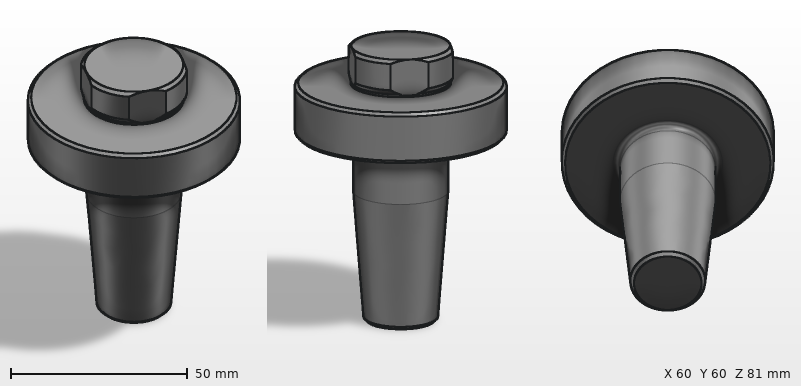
import cadquery as cq

TOTAL_HEIGHT = 81.0
HEAD_HEIGHT = 11.0
FLANGE_THICKNESS = 15.0
STRAIGHT_SHANK_LENGTH = 16.9

FLANGE_RADIUS = 60.0 / 2
SHANK_RADIUS = 27.0 / 2
TIP_RADIUS = 21.2 / 2
FLANGE_CHAMFER = 1.0
END_CHAMFER = 1.05
SHANK_FILLET = 2.0

HEAD_RADIUS = 30.05 / 2
ACROSS_FLATS = 28.0
COLLAR_RADIUS = 28.4 / 2
COLLAR_HEIGHT = 0.7
FLATS_START = 0.4
UNDERSIDE_CONE_HEIGHT = 1.45

FLANGE_TOP = TOTAL_HEIGHT - HEAD_HEIGHT
FLANGE_BOTTOM = FLANGE_TOP - FLANGE_THICKNESS
TAPER_TOP = FLANGE_BOTTOM - STRAIGHT_SHANK_LENGTH


def make_flanged_shank():
    """Round flange on a straight shank that tapers to a chamfered tip."""
    profile = (
        cq.Workplane("XZ")
        .moveTo(0, 0)
        .lineTo(TIP_RADIUS - END_CHAMFER, 0)
        .lineTo(TIP_RADIUS, END_CHAMFER)
        .lineTo(SHANK_RADIUS, TAPER_TOP)
        .lineTo(SHANK_RADIUS, FLANGE_BOTTOM - SHANK_FILLET)
        .radiusArc((SHANK_RADIUS + SHANK_FILLET, FLANGE_BOTTOM), SHANK_FILLET)
        .lineTo(FLANGE_RADIUS - FLANGE_CHAMFER, FLANGE_BOTTOM)
        .lineTo(FLANGE_RADIUS, FLANGE_BOTTOM + FLANGE_CHAMFER)
        .lineTo(FLANGE_RADIUS, FLANGE_TOP - FLANGE_CHAMFER)
        .lineTo(FLANGE_RADIUS - FLANGE_CHAMFER, FLANGE_TOP)
        .lineTo(0, FLANGE_TOP)
        .close()
    )
    return profile.revolve(360, (0, 0, 0), (0, 1, 0))


def make_head():
    """Round head on a low collar, with chamfered ends and four wrench flats."""
    cone_bottom = FLANGE_TOP + COLLAR_HEIGHT
    profile = (
        cq.Workplane("XZ")
        .moveTo(0, FLANGE_TOP)
        .lineTo(COLLAR_RADIUS, FLANGE_TOP)
        .lineTo(COLLAR_RADIUS, cone_bottom)
        .lineTo(HEAD_RADIUS, cone_bottom + UNDERSIDE_CONE_HEIGHT)
        .lineTo(HEAD_RADIUS, TOTAL_HEIGHT - END_CHAMFER)
        .lineTo(HEAD_RADIUS - END_CHAMFER, TOTAL_HEIGHT)
        .lineTo(0, TOTAL_HEIGHT)
        .close()
    )
    round_head = profile.revolve(360, (0, 0, 0), (0, 1, 0))

    square = (
        cq.Workplane("XY", origin=(0, 0, FLANGE_TOP + FLATS_START))
        .rect(ACROSS_FLATS, ACROSS_FLATS)
        .extrude(HEAD_HEIGHT - FLATS_START)
    )
    base = (
        cq.Workplane("XY", origin=(0, 0, FLANGE_TOP))
        .circle(COLLAR_RADIUS)
        .extrude(FLATS_START)
    )
    return round_head.intersect(square.union(base))


flanged_shank = make_flanged_shank()
head = make_head()

result = cq.Compound.makeCompound([flanged_shank.val(), *head.solids().vals()])